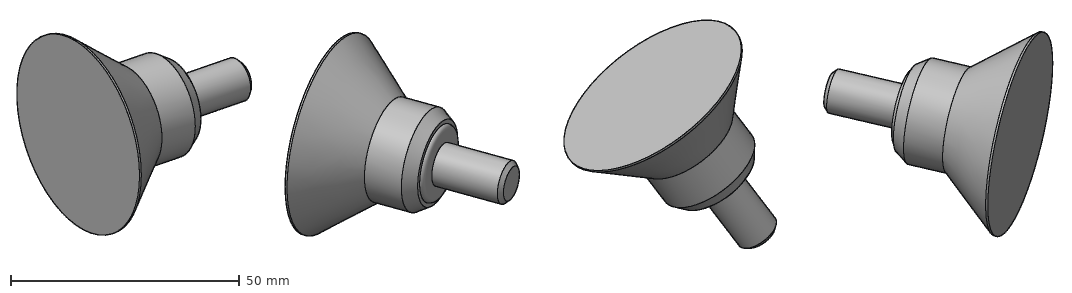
import cadquery as cq
import math

pad_radius = 46 / 2
rim_thickness = 0.5
cone_length = 13.5

body_radius = 24 / 2
body_length = 9.0

shoulder_top_radius = 10.0
shoulder_length = 3.0

collar_radius = 9.0
collar_length = 1.0
collar_rounding = collar_length

stud_radius = 10 / 2
stud_length = 17.0
stud_chamfer = 1.0

cone_end = rim_thickness + cone_length
body_end = cone_end + body_length
shoulder_end = body_end + shoulder_length
collar_end = shoulder_end + collar_length
stud_end = collar_end + stud_length


def collar_arc_midpoint():
    """Middle of the quarter-round on the outer edge of the collar."""
    inset = collar_rounding * (1 - math.cos(math.radians(45)))
    return collar_radius - inset, collar_end - inset


def half_profile():
    """Closed outline in radius (X) and station (Y), bounded by the axis."""
    return (
        cq.Workplane("XY")
        .moveTo(0, 0)
        .lineTo(pad_radius, 0)
        .lineTo(pad_radius, rim_thickness)
        .lineTo(body_radius, cone_end)
        .lineTo(body_radius, body_end)
        .lineTo(shoulder_top_radius, shoulder_end)
        .lineTo(collar_radius, shoulder_end)
        .threePointArc(collar_arc_midpoint(), (collar_radius - collar_rounding, collar_end))
        .lineTo(stud_radius, collar_end)
        .lineTo(stud_radius, stud_end - stud_chamfer)
        .lineTo(stud_radius - stud_chamfer, stud_end)
        .lineTo(0, stud_end)
        .close()
    )


result = half_profile().revolve(360, (0, 0, 0), (0, 1, 0))